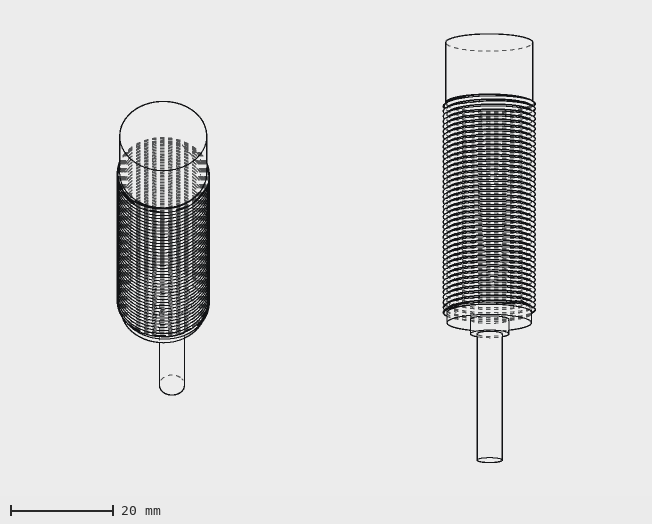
import cadquery as cq

total_height = 83.8
cable_length = 25.1
boot_top = 28.0
thread_bottom = 30.0
thread_top = 71.8

head_diameter = 17.0
thread_diameter = 18.0
root_diameter = 16.5
boot_diameter = 7.55
cable_diameter = 4.95

cable_x = -1.5
cable_y = 2.8

thread_turns = 41.8
root_flat = 0.1
root_overlap = 0.03

pitch = (thread_top - thread_bottom) / thread_turns


def cylinder(diameter, bottom, top):
    """Upright cylinder on the sensor axis, between two heights."""
    return cq.Workplane("XY").workplane(offset=bottom).circle(diameter / 2).extrude(top - bottom)


def thread_ridge():
    """Helical V ridge, run one pitch past both ends and trimmed flat to the threaded length."""
    root_radius = root_diameter / 2
    crest_radius = thread_diameter / 2
    half_base = (pitch - root_flat) / 2
    inner_radius = root_radius - root_overlap
    root_rise = root_overlap * half_base / (crest_radius - root_radius)

    section = [
        (inner_radius, -half_base - root_rise),
        (crest_radius, 0),
        (inner_radius, half_base + root_rise),
    ]
    ridge_length = thread_top - thread_bottom + 2 * pitch
    helices = [
        cq.Wire.makeHelix(pitch, ridge_length, radius).translate(cq.Vector(0, 0, height))
        for radius, height in section
    ]
    sides = [cq.Face.makeRuledSurface(helices[i - 1], helices[i]) for i in range(len(helices))]
    start_cap = cq.Wire.makePolygon([cq.Vector(r, 0, z) for r, z in section], close=True)
    end_cap = cq.Wire.makePolygon([h.endPoint() for h in helices], close=True)
    caps = [cq.Face.makeFromWires(start_cap), cq.Face.makeFromWires(end_cap)]
    shell_faces = [face for surface in sides + caps for face in surface.Faces()]
    ridge = cq.Solid.makeSolid(cq.Shell.makeShell(shell_faces))
    ridge = ridge.translate(cq.Vector(0, 0, thread_bottom - pitch))
    trim = cylinder(thread_diameter + pitch, thread_bottom, thread_top)
    return cq.Workplane(ridge).intersect(trim, clean=False)


def make_housing():
    """Sensor barrel: bare rear collar, threaded length and smooth sensing head."""
    core = cylinder(root_diameter, boot_top, thread_top)
    head = cylinder(head_diameter, thread_top, total_height)
    return core.union(thread_ridge(), clean=False).union(head, clean=False)


def make_cable():
    """Cable with its thicker boot, which butts against the rear face of the housing."""
    cable = cylinder(cable_diameter, 0, cable_length)
    boot = cylinder(boot_diameter, cable_length, boot_top)
    return cable.union(boot).translate((cable_x, cable_y, 0))


housing = make_housing()
cable = make_cable()

result = cq.Compound.makeCompound([*housing.solids().vals(), *cable.solids().vals()])